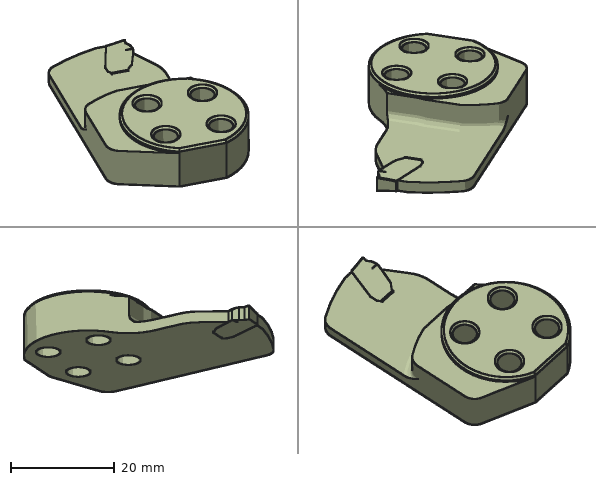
import cadquery as cq
import math


PLATE_TOP = 2.3
LEDGE_TOP = 7.8
BOSS_TOP = 8.65

BOSS_RADIUS = 12.5
BOSS_FLAT_X = 11.55
BOSS_CHAMFER = 0.5
HOLE_DIAMETER = 4.7
HOLE_PITCH = 11.3
HOLE_CHAMFER = 0.5

FRONT_Y = -17.5
BACK_Y = 4.15
LEFT_X = -35.75
LEFT_ARC_START_Y = -5.95
LEFT_ARC_MIDDLE = (-34.55, -10.55)
LEFT_ARC_END_X = -31.4
CORNER_RADIUS = 3.0
NECK_RADIUS = 10.0
SHOULDER_RADIUS = 8.0
SHOULDER_X = -25.05
SHOULDER_ANGLE = 30.0
MOUTH_BACK_X = -32.0
MOUTH_FRONT_Y = -3.9

WALL_OFFSET = 0.3
WALL_ARC_START_Y = -9.5
WALL_ARC_MIDDLE = (-11.8, -12.7)
WALL_ARC_END_X = -9.25
WALL_FILLET = 1.6

TIP = (-36.35, 0.1)
TIP_BEND = (-36.05, -2.7)
TIP_HEEL = (-36.0, -3.65)
STEP_CORNER = (-33.25, -0.65)
STEP_BACK = (-33.2, 0.7)
TIP_RISE = 0.35
TIP_LAND = 0.15
INSERT_REAR_X = -26.65
INSERT_REAR_FRONT_Y = -5.85
INSERT_REAR_BACK_Y = -2.45

HOLLOW_START = (-35.25, -0.05)
HOLLOW_END = (-34.35, 0.55)
BACK_SIDE_START = (-32.8, 0.7)
BACK_SIDE_END = (-28.15, -1.15)
BACK_CROP = (-27.0, -2.25)
FRONT_CROP = (-27.3, -6.35)
FRONT_SIDE_END = (-28.9, -6.35)
FRONT_SIDE_START = (-35.65, -3.95)

GROOVE_WIDTH = 0.3
GROOVE_DEPTH = 0.5

MARGIN = 4.8
STOCK_SIDE = 95.8
PICK = 0.05


def prism(outline, height):
    """Close a 2D outline and extrude it upward."""
    return outline.close().extrude(height)


def holder_outline():
    """Plan outline of the holder, starting at the front of the insert mouth."""
    neck_y = BACK_Y + NECK_RADIUS
    neck_x = -math.sqrt((BOSS_RADIUS + NECK_RADIUS) ** 2 - neck_y ** 2)
    boss_share = BOSS_RADIUS / (BOSS_RADIUS + NECK_RADIUS)
    neck_end = (neck_x * boss_share, neck_y * boss_share)
    neck_turn = math.atan2(-neck_x, neck_y) / 2
    neck_middle = (
        neck_x + NECK_RADIUS * math.sin(neck_turn),
        neck_y - NECK_RADIUS * math.cos(neck_turn),
    )
    flat_half = math.sqrt(BOSS_RADIUS ** 2 - BOSS_FLAT_X ** 2)
    slant_run = (-flat_half - FRONT_Y) * flat_half / BOSS_FLAT_X
    mouth_drop = (SHOULDER_X - MOUTH_BACK_X) * math.tan(math.radians(SHOULDER_ANGLE))
    return (
        cq.Workplane("XY")
        .moveTo(LEFT_X, MOUTH_FRONT_Y)
        .lineTo(LEFT_X, LEFT_ARC_START_Y)
        .threePointArc(LEFT_ARC_MIDDLE, (LEFT_ARC_END_X, FRONT_Y))
        .lineTo(BOSS_FLAT_X - slant_run, FRONT_Y)
        .lineTo(BOSS_FLAT_X, -flat_half)
        .lineTo(BOSS_FLAT_X, flat_half)
        .threePointArc((0, BOSS_RADIUS), neck_end)
        .threePointArc(neck_middle, (neck_x, BACK_Y))
        .lineTo(SHOULDER_X, BACK_Y)
        .lineTo(MOUTH_BACK_X, BACK_Y - mouth_drop)
    )


def near(x, y):
    """Selector for the vertical edge nearest to a plan position."""
    return cq.selectors.NearestToPointSelector((x, y, LEDGE_TOP / 2))


def holder_blank():
    """Full-height prism of the holder outline with its corners rounded."""
    blank = prism(holder_outline(), LEDGE_TOP)
    blank = blank.edges("|Z").edges(near(SHOULDER_X, BACK_Y)).fillet(SHOULDER_RADIUS)
    blank = blank.edges("|Z").edges(near(LEFT_ARC_END_X, FRONT_Y)).fillet(CORNER_RADIUS)
    return blank.edges("|Z").edges(near(BOSS_FLAT_X / 2, FRONT_Y)).fillet(CORNER_RADIUS)


def stepped_stock():
    """Oversized plate carrying the raised ledge, with the foot of the step filleted."""
    plate = cq.Workplane("XY").box(
        STOCK_SIDE, STOCK_SIDE, PLATE_TOP, centered=(True, True, False)
    )
    arc_depth = math.sqrt(NECK_RADIUS ** 2 - (NECK_RADIUS - WALL_OFFSET) ** 2)
    arc_turn = math.asin(arc_depth / NECK_RADIUS) / 2
    arc_middle = (
        -BOSS_RADIUS - NECK_RADIUS * (1 - math.cos(arc_turn)),
        -NECK_RADIUS * math.sin(arc_turn),
    )
    wall_x = -BOSS_RADIUS - WALL_OFFSET
    outline = (
        cq.Workplane("XY")
        .moveTo(-BOSS_RADIUS, BOSS_RADIUS + MARGIN)
        .lineTo(-BOSS_RADIUS, 0)
        .threePointArc(arc_middle, (wall_x, -arc_depth))
        .lineTo(wall_x, WALL_ARC_START_Y)
        .threePointArc(WALL_ARC_MIDDLE, (WALL_ARC_END_X, FRONT_Y))
        .lineTo(BOSS_RADIUS + MARGIN, FRONT_Y)
        .lineTo(BOSS_RADIUS + MARGIN, BOSS_RADIUS + MARGIN)
    )
    ledge = prism(outline, LEDGE_TOP)
    ledge = ledge.edges("|Z").edges(near(WALL_ARC_END_X, FRONT_Y)).fillet(CORNER_RADIUS)
    stock = plate.union(ledge)
    foot = cq.selectors.BoxSelector(
        (-BOSS_RADIUS - MARGIN, FRONT_Y - PICK, PLATE_TOP - PICK),
        (BOSS_RADIUS + 2 * MARGIN, BOSS_RADIUS + MARGIN - PICK, PLATE_TOP + PICK),
    )
    return stock.edges(foot).fillet(WALL_FILLET)


def boss():
    """Round boss with a flat side and a chamfered top rim."""
    flat_side = cq.Workplane("XY").box(
        BOSS_FLAT_X + BOSS_RADIUS, 2 * BOSS_RADIUS, BOSS_TOP, centered=(False, True, False)
    ).translate((-BOSS_RADIUS, 0, 0))
    disc = cq.Workplane("XY").circle(BOSS_RADIUS).extrude(BOSS_TOP)
    disc = disc.intersect(flat_side).faces(">Z").chamfer(BOSS_CHAMFER)
    return disc.cut(cq.Workplane("XY").box(STOCK_SIDE, STOCK_SIDE, 2 * LEDGE_TOP))


def insert_outline():
    """Plan outline of the insert, from its tip around the back edge."""
    return (
        cq.Workplane("XY")
        .moveTo(*TIP)
        .lineTo(*HOLLOW_START)
        .lineTo(*HOLLOW_END)
        .lineTo(*STEP_BACK)
        .lineTo(*BACK_SIDE_START)
        .lineTo(*BACK_SIDE_END)
        .lineTo(*BACK_CROP)
        .lineTo(INSERT_REAR_X, INSERT_REAR_BACK_Y)
        .lineTo(INSERT_REAR_X, INSERT_REAR_FRONT_Y)
        .lineTo(*FRONT_CROP)
        .lineTo(*FRONT_SIDE_END)
        .lineTo(*FRONT_SIDE_START)
        .lineTo(*TIP_HEEL)
        .lineTo(*TIP_BEND)
    )


def tip_wedge():
    """Sloped rise of the cutting tip above the upper face of the insert."""
    run = (STEP_CORNER[0] - TIP_HEEL[0], STEP_CORNER[1] - TIP_HEEL[1])
    hinge_length = math.hypot(*run)
    tip_arm = (TIP[0] - TIP_HEEL[0], TIP[1] - TIP_HEEL[1])
    tip_distance = (run[0] * tip_arm[1] - run[1] * tip_arm[0]) / hinge_length
    hinge_plane = cq.Plane(
        origin=(*TIP_HEEL, PLATE_TOP),
        xDir=(-run[1], run[0], 0),
        normal=(run[0], run[1], 0),
    )
    reach = 2 * tip_distance
    slope = (
        cq.Workplane(hinge_plane)
        .moveTo(0, 0)
        .lineTo(reach, 0)
        .lineTo(reach, 2 * TIP_RISE)
        .close()
        .extrude(2 * hinge_length, both=True)
    )
    step_block = (
        cq.Workplane("XY")
        .moveTo(TIP[0] - MARGIN, MOUTH_FRONT_Y)
        .lineTo(STEP_CORNER[0], MOUTH_FRONT_Y)
        .lineTo(*STEP_CORNER)
        .lineTo(*STEP_BACK)
        .lineTo(TIP[0] - MARGIN, STEP_BACK[1])
    )
    head = prism(insert_outline(), PLATE_TOP + 2 * TIP_RISE)
    return head.intersect(prism(step_block, PLATE_TOP + 2 * TIP_RISE)).intersect(slope)


def make_insert():
    """Cutting insert: flat body with a tip rising above both faces."""
    body = prism(insert_outline(), PLATE_TOP)
    upper = tip_wedge()
    lower = upper.mirror("XY", (0, 0, PLATE_TOP / 2))
    insert = body.union(upper).union(lower)
    upper_tip_edge = cq.selectors.BoxSelector(
        (TIP[0] - PICK, TIP_BEND[1], PLATE_TOP),
        (TIP_BEND[0] + PICK, TIP[1], PLATE_TOP + TIP_RISE),
    )
    return insert.edges(upper_tip_edge).chamfer(TIP_LAND)


def make_holder():
    """Holder with its boss, holes, insert pocket and clearance groove."""
    holder = holder_blank().intersect(stepped_stock()).union(boss())
    holes = (
        cq.Workplane("XY")
        .rect(HOLE_PITCH, HOLE_PITCH, forConstruction=True)
        .vertices()
        .circle(HOLE_DIAMETER / 2)
        .extrude(BOSS_TOP)
    )
    holder = holder.cut(holes)
    rims = cq.selectors.BoxSelector(
        (-HOLE_PITCH, -HOLE_PITCH, BOSS_TOP - PICK), (HOLE_PITCH, HOLE_PITCH, BOSS_TOP + PICK)
    )
    smallest = cq.selectors.RadiusNthSelector(0)
    holder = holder.edges(rims).edges("%CIRCLE").edges(smallest).chamfer(HOLE_CHAMFER)
    holder = holder.cut(prism(insert_outline(), PLATE_TOP))
    groove = cq.Workplane("XY").box(
        GROOVE_WIDTH,
        INSERT_REAR_BACK_Y - INSERT_REAR_FRONT_Y,
        GROOVE_DEPTH,
        centered=False,
    ).translate((INSERT_REAR_X, INSERT_REAR_FRONT_Y, PLATE_TOP - GROOVE_DEPTH))
    return holder.cut(groove)


holder = make_holder()
insert = make_insert()
result = cq.Compound.makeCompound([holder.val(), insert.val()])